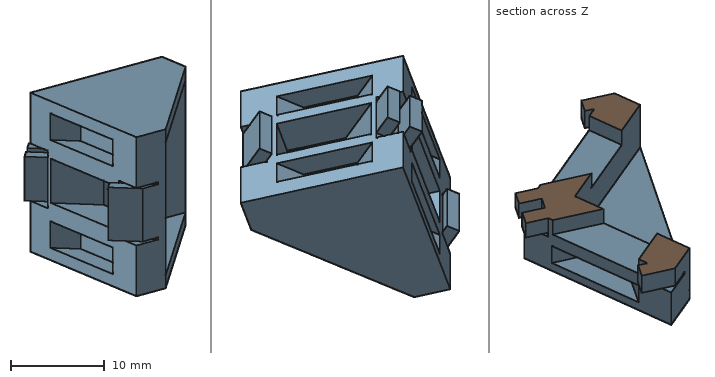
import cadquery as cq
import math

SIDE = 18.0
HEIGHT = 18.0
LEG_THICKNESS = 4.0
PLATE_THICKNESS = 1.5
MID_Z = HEIGHT / 2

WINDOW_START = 3.5
WINDOW_END = SIDE - LEG_THICKNESS
WINDOW_HEIGHT = 5.0

POCKET_START = 3.4
POCKET_END = WINDOW_END
POCKET_DEPTH = 2.3
POCKET_HEIGHT = 3.0
FRONT_POCKET_OFFSET = 6.1
SIDE_POCKET_OFFSET = 5.4

NOTCH_LEG = 2.97
NOTCH_HEIGHT = 6.5

LUG_REACH = 2.5 / math.sqrt(2)
LUG_THICKNESS = 1.5
CORNER_LUG_HEIGHT = WINDOW_HEIGHT
END_LUG_HEIGHT = 6.0
LUG_STEP = LUG_THICKNESS / math.sqrt(2)


def prism(points, height, mid_z=MID_Z):
    """Vertical prism over an XY outline, centred on mid_z."""
    base = cq.Workplane("XY").workplane(offset=mid_z - height / 2)
    return base.polyline(points).close().extrude(height)


def swap_axes(points):
    """Mirror an outline in the plane X = Y, from the leg along X to the leg along Y."""
    return [(y, x) for x, y in points]


body_outline = [(0, 0), (SIDE, 0), (SIDE, LEG_THICKNESS), (LEG_THICKNESS, SIDE), (0, SIDE)]

cavity_outline = [(LEG_THICKNESS, LEG_THICKNESS), (SIDE, LEG_THICKNESS), (LEG_THICKNESS, SIDE)]

corner_notch_outline = [(0, 0), (NOTCH_LEG, 0), (0, NOTCH_LEG)]

end_notch_outline = [(SIDE - NOTCH_LEG, 0), (SIDE, 0), (SIDE, NOTCH_LEG)]

window_outline = [
    (WINDOW_START, 0),
    (WINDOW_END, 0),
    (WINDOW_END, LEG_THICKNESS),
    (WINDOW_START + LEG_THICKNESS, LEG_THICKNESS),
]

pocket_outline = [
    (POCKET_START, 0),
    (POCKET_END, 0),
    (POCKET_END - POCKET_DEPTH, POCKET_DEPTH),
    (POCKET_START + POCKET_DEPTH, POCKET_DEPTH),
]

corner_lug_tip_x = NOTCH_LEG - LUG_REACH
corner_lug_inner_x = NOTCH_LEG - LUG_STEP
corner_lug_outline = [
    (corner_lug_tip_x, -LUG_REACH),
    (NOTCH_LEG, 0),
    (corner_lug_inner_x, LUG_STEP),
    (corner_lug_tip_x - LUG_STEP, LUG_STEP - LUG_REACH),
]

end_lug_inner_x = SIDE - NOTCH_LEG
end_lug_tip_x = end_lug_inner_x + 2 * LUG_STEP - LUG_REACH
end_lug_outline = [
    (end_lug_tip_x, -LUG_REACH),
    (SIDE, NOTCH_LEG - 2 * LUG_STEP),
    (SIDE, NOTCH_LEG),
    (end_lug_tip_x - LUG_STEP, LUG_STEP - LUG_REACH),
]


def cut_leg(body, mirror, pocket_offset):
    """Cut the window, pockets and end notch of one leg."""
    body = body.cut(prism(mirror(window_outline), WINDOW_HEIGHT))
    body = body.cut(prism(mirror(end_notch_outline), NOTCH_HEIGHT))
    for direction in (-1, 1):
        pocket_z = MID_Z + direction * pocket_offset
        body = body.cut(prism(mirror(pocket_outline), POCKET_HEIGHT, pocket_z))
    return body


def add_lugs(body, mirror):
    """Add the corner lug and the end lug of one leg."""
    body = body.union(prism(mirror(corner_lug_outline), CORNER_LUG_HEIGHT))
    return body.union(prism(mirror(end_lug_outline), END_LUG_HEIGHT))


body = prism(body_outline, HEIGHT)
body = body.cut(prism(cavity_outline, HEIGHT - 2 * PLATE_THICKNESS))
body = body.cut(prism(corner_notch_outline, NOTCH_HEIGHT))
body = cut_leg(body, list, FRONT_POCKET_OFFSET)
body = cut_leg(body, swap_axes, SIDE_POCKET_OFFSET)
body = add_lugs(body, list)
result = add_lugs(body, swap_axes)